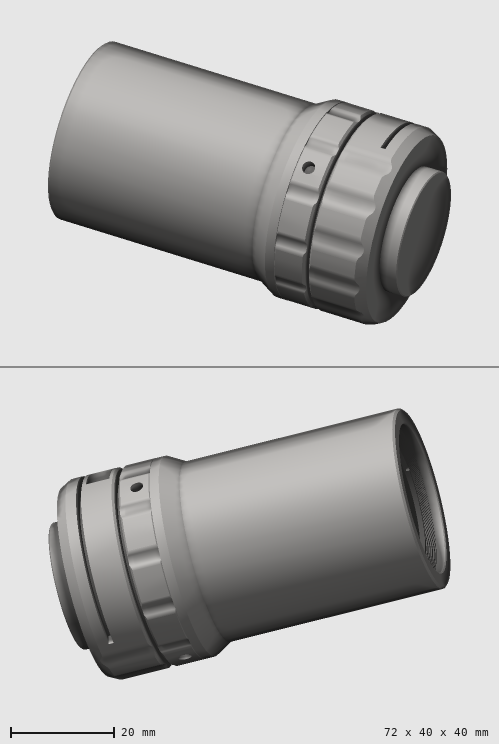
import cadquery as cq
import math

total_length = 72.0

housing_radius = 18.0
outer_radius = 20.0
core_radius = 17.6
rear_radius = 12.7

taper_start = 43.6
taper_end = 47.2
flange_end = 49.1
lock_ring_end = 55.5
grip_ring_start = 56.4
grip_ring_end = 68.25

front_bevel = 0.4
lock_ring_front_bevel = 0.2
ring_bevel = 0.4
rear_bevel = 0.2
grip_rear_bevel_length = 2.1
grip_rear_bevel_depth = 1.1

opening_bevel = 0.2
opening_radius = 14.8
opening_depth = 1.95
step_count = 15
step_zone_depth = 1.2
retainer_radius = 12.0
cone_radius = 11.45
glass_radius = 10.9
glass_recess = 0.9
spanner_hole_radius = 0.4
spanner_hole_place = 11.5
spanner_hole_turn = 95.0

lock_flute_count = 12
lock_flute_pitch = 360.0 / lock_flute_count
lock_flute_phase = 13.0
lock_flute_depth = 0.6
lock_hollow_radius = 2.2
lock_lip_radius = 1.45
set_hole_x = 51.7
set_hole_radius = 1.3
set_hole_count = 3
set_hole_phase = lock_flute_phase - lock_flute_pitch / 2

grip_flute_count = 7
grip_flute_pitch = 25.0
grip_flute_middle = 179.3
grip_flute_depth = 0.5
grip_hollow_radius = 4.3
grip_lip_radius = 3.0
slit_start = 63.0
slit_width = 1.0
slit_half_angle = 92.0
seat_x = 59.8
seat_y = 17.7
seat_radius = 2.4
seat_floor_z = 4.75
screw_head_radius = 1.5
screw_head_floor_z = 1.6
screw_hole_radius = 1.15

cut_margin = 0.7


def point_at(radius, degrees):
    """Point in the YZ plane, with the angle measured from +Y towards +Z."""
    angle = math.radians(degrees)
    return radius * math.cos(angle), radius * math.sin(angle)


def turned(points):
    """Solid of revolution about X from (x, radius) outline points."""
    return cq.Workplane("XY").polyline(points).close().revolve(360, (0, 0, 0), (1, 0, 0))


def make_core():
    """Inner barrel that limits how deep the ring features go."""
    return cq.Workplane("YZ").circle(core_radius).extrude(total_length)


def make_flute(start, end, depth, hollow_radius, lip_radius):
    """Cutter on +Y: a round hollow that blends into the rim with a rounded lip on each side."""
    hollow_place = outer_radius - depth + hollow_radius
    lip_place = outer_radius - lip_radius
    reach = hollow_radius + lip_radius
    lip_angle = math.acos(
        (hollow_place**2 + lip_place**2 - reach**2) / (2 * hollow_place * lip_place)
    )
    lip_degrees = math.degrees(lip_angle)

    rim = point_at(outer_radius, lip_degrees)
    lip_centre = point_at(lip_place, lip_degrees)
    share = hollow_radius / reach
    blend = (
        hollow_place + share * (lip_centre[0] - hollow_place),
        share * lip_centre[1],
    )
    blend_angle = math.atan2(blend[1] - lip_centre[1], blend[0] - lip_centre[0])
    lip_mid_angle = (lip_angle + blend_angle) / 2
    lip_mid = (
        lip_centre[0] + lip_radius * math.cos(lip_mid_angle),
        lip_centre[1] + lip_radius * math.sin(lip_mid_angle),
    )
    outside = point_at(outer_radius + cut_margin, lip_degrees)

    def mirrored(point):
        return point[0], -point[1]

    outline = (
        cq.Workplane("YZ", origin=(start, 0, 0))
        .moveTo(*outside)
        .lineTo(*rim)
        .threePointArc(lip_mid, blend)
        .threePointArc((outer_radius - depth, 0), mirrored(blend))
        .threePointArc(mirrored(lip_mid), mirrored(rim))
        .lineTo(*mirrored(outside))
        .close()
    )
    return outline.extrude(end - start)


def turn_about_axis(shape, degrees):
    return shape.rotate((0, 0, 0), (1, 0, 0), degrees)


def make_body():
    """Outer turned shape, solid inside."""
    return turned([
        (0, 0),
        (0, housing_radius - front_bevel),
        (front_bevel, housing_radius),
        (taper_start, housing_radius),
        (taper_end, outer_radius),
        (flange_end, outer_radius),
        (flange_end, outer_radius - lock_ring_front_bevel),
        (flange_end + lock_ring_front_bevel, outer_radius),
        (lock_ring_end - ring_bevel, outer_radius),
        (lock_ring_end, outer_radius - ring_bevel),
        (lock_ring_end, core_radius),
        (grip_ring_start, core_radius),
        (grip_ring_start, outer_radius - ring_bevel),
        (grip_ring_start + ring_bevel, outer_radius),
        (grip_ring_end - grip_rear_bevel_length, outer_radius),
        (grip_ring_end, outer_radius - grip_rear_bevel_depth),
        (grip_ring_end, rear_radius),
        (total_length - rear_bevel, rear_radius),
        (total_length, rear_radius - rear_bevel),
        (total_length, 0),
    ])


def make_front_opening():
    """Round opening, concentric steps, retainer ledge and conical rim of the front glass."""
    step_width = (opening_radius - retainer_radius) / step_count
    step_depth = step_zone_depth / step_count
    points = [
        (0, 0),
        (0, opening_radius + opening_bevel),
        (opening_bevel, opening_radius),
        (opening_depth, opening_radius),
    ]
    for step in range(1, step_count + 1):
        radius = opening_radius - step * step_width
        depth = opening_depth + step * step_depth
        points.append((depth - step_depth, radius))
        points.append((depth, radius))
    ledge = opening_depth + step_zone_depth
    points.append((ledge, cone_radius))
    points.append((ledge + glass_recess, glass_radius))
    points.append((ledge + glass_recess, 0))
    opening = turned(points)

    for turn in (spanner_hole_turn, spanner_hole_turn + 180):
        hole = (
            cq.Workplane("YZ", origin=(ledge, 0, 0))
            .center(*point_at(spanner_hole_place, turn))
            .circle(spanner_hole_radius)
            .extrude(glass_recess)
        )
        opening = opening.union(hole)
    return opening


def make_set_hole():
    """Radial hole on +Y that reaches down to the core."""
    start = outer_radius + cut_margin
    drill = cq.Workplane("XZ", origin=(set_hole_x, start, 0)).circle(set_hole_radius).extrude(start)
    return drill.cut(make_core())


def make_clamp_slit():
    """Slit down to the core, open over the +Y side."""
    slit = (
        cq.Workplane("YZ", origin=(slit_start, 0, 0))
        .circle(outer_radius + cut_margin)
        .circle(core_radius)
        .extrude(slit_width)
    )
    reach = 2 * outer_radius
    end_y, end_z = point_at(reach, slit_half_angle)
    sector = (
        cq.Workplane("YZ", origin=(slit_start, 0, 0))
        .polyline([(0, 0), (end_y, end_z), (reach, end_z), (reach, -end_z), (end_y, -end_z)])
        .close()
        .extrude(slit_width)
    )
    return slit.intersect(sector)


def make_screw_seat():
    """Round-ended seat open to +Y, with a stepped screw hole that ends in a cone."""
    seat = (
        cq.Workplane("XY", origin=(seat_x, seat_y, seat_floor_z))
        .circle(seat_radius)
        .extrude(outer_radius)
    )
    mouth = cq.Workplane("XY", origin=(seat_x, seat_y, seat_floor_z)).box(
        2 * seat_radius, outer_radius, outer_radius, centered=(True, False, False)
    )
    head = (
        cq.Workplane("XY", origin=(seat_x, seat_y, screw_head_floor_z))
        .circle(screw_head_radius)
        .extrude(seat_floor_z - screw_head_floor_z)
    )
    tip = cq.Workplane(
        cq.Solid.makeCone(
            screw_hole_radius, 0, screw_hole_radius,
            cq.Vector(seat_x, seat_y, screw_head_floor_z), cq.Vector(0, 0, -1),
        )
    )
    return seat.union(mouth).union(head).union(tip).cut(make_core())


result = make_body().cut(make_front_opening())

lock_flute = make_flute(
    flange_end, lock_ring_end, lock_flute_depth, lock_hollow_radius, lock_lip_radius
)
for index in range(lock_flute_count):
    result = result.cut(turn_about_axis(lock_flute, lock_flute_phase + index * lock_flute_pitch))

set_hole = make_set_hole()
for index in range(set_hole_count):
    result = result.cut(turn_about_axis(set_hole, set_hole_phase + index * 360 / set_hole_count))

grip_flute = make_flute(
    grip_ring_start, grip_ring_end, grip_flute_depth, grip_hollow_radius, grip_lip_radius
)
for index in range(grip_flute_count):
    offset = index - (grip_flute_count - 1) / 2
    result = result.cut(turn_about_axis(grip_flute, grip_flute_middle + offset * grip_flute_pitch))

result = result.cut(make_clamp_slit()).cut(make_screw_seat())